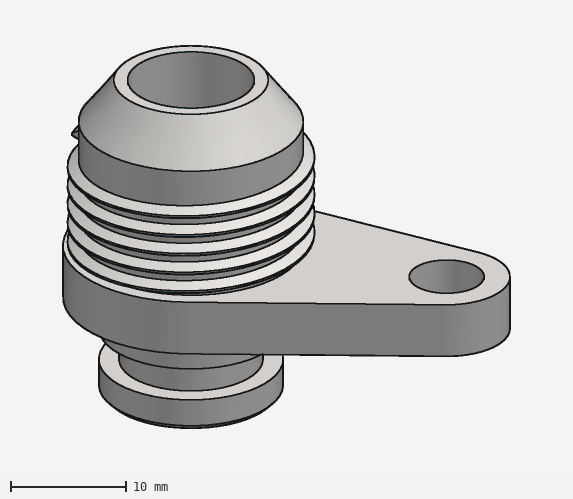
import cadquery as cq
import math

LOWER_COLLAR_TOP = 3.0
GROOVE_TOP = 6.0
FLANGE_BOTTOM = 9.0
FLANGE_TOP = 14.0
CONE_BOTTOM = 26.0
TOP = 30.0

BORE_RADIUS = 5.5
GROOVE_RADIUS = 6.25
COLLAR_RADIUS = 8.0
BODY_RADIUS = 9.75
NOSE_RADIUS = 6.7
BOTTOM_CHAMFER = 0.5

FLANGE_RADIUS = 11.1125
EAR_RADIUS = 5.5
EAR_OFFSET = 23.0
EAR_HOLE_RADIUS = 3.25

MM_PER_INCH = 25.4
TURNS_PER_INCH = 14
PITCH = MM_PER_INCH / TURNS_PER_INCH
THREAD_CREST_RADIUS = 10.72
THREAD_ROOT_WIDTH = 1.24
THREAD_CREST_WIDTH = 0.2
THREAD_END_HEIGHT = 23.34
THREAD_TURNS = 6
ROOT_OVERLAP = 0.1


def make_body():
    """Turned body: grooved spigot below, threaded barrel and conical nose above."""
    return (
        cq.Workplane("XZ")
        .moveTo(0, 0)
        .lineTo(COLLAR_RADIUS - BOTTOM_CHAMFER, 0)
        .lineTo(COLLAR_RADIUS, BOTTOM_CHAMFER)
        .lineTo(COLLAR_RADIUS, LOWER_COLLAR_TOP)
        .lineTo(GROOVE_RADIUS, LOWER_COLLAR_TOP)
        .lineTo(GROOVE_RADIUS, GROOVE_TOP)
        .lineTo(COLLAR_RADIUS, GROOVE_TOP)
        .lineTo(COLLAR_RADIUS, FLANGE_BOTTOM)
        .lineTo(BODY_RADIUS, FLANGE_BOTTOM)
        .lineTo(BODY_RADIUS, CONE_BOTTOM)
        .lineTo(NOSE_RADIUS, TOP)
        .lineTo(0, TOP)
        .close()
        .revolve(360, (0, 0, 0), (0, 1, 0))
    )


def make_flange():
    """Two round ends joined by straight sides tangent to both."""
    tangent_cos = (FLANGE_RADIUS - EAR_RADIUS) / EAR_OFFSET
    tangent_sin = math.sqrt(1 - tangent_cos**2)
    flange_x = FLANGE_RADIUS * tangent_cos
    flange_y = FLANGE_RADIUS * tangent_sin
    ear_x = EAR_OFFSET + EAR_RADIUS * tangent_cos
    ear_y = EAR_RADIUS * tangent_sin
    return (
        cq.Workplane("XY")
        .workplane(offset=FLANGE_BOTTOM)
        .moveTo(flange_x, flange_y)
        .threePointArc((-FLANGE_RADIUS, 0), (flange_x, -flange_y))
        .lineTo(ear_x, -ear_y)
        .threePointArc((EAR_OFFSET + EAR_RADIUS, 0), (ear_x, ear_y))
        .close()
        .extrude(FLANGE_TOP - FLANGE_BOTTOM)
    )


def make_thread():
    """Helical ridge whose lowest turn starts inside the flange."""
    start_height = THREAD_END_HEIGHT - THREAD_TURNS * PITCH
    flank_slope = (THREAD_ROOT_WIDTH - THREAD_CREST_WIDTH) / 2 / (THREAD_CREST_RADIUS - BODY_RADIUS)
    half_crest = THREAD_CREST_WIDTH / 2
    half_base = THREAD_ROOT_WIDTH / 2 + ROOT_OVERLAP * flank_slope
    base_radius = BODY_RADIUS - ROOT_OVERLAP
    helix = cq.Wire.makeHelix(PITCH, THREAD_TURNS * PITCH, BODY_RADIUS)
    ridge = (
        cq.Workplane("XZ")
        .moveTo(base_radius, -half_base)
        .lineTo(THREAD_CREST_RADIUS, -half_crest)
        .lineTo(THREAD_CREST_RADIUS, half_crest)
        .lineTo(base_radius, half_base)
        .close()
        .sweep(cq.Workplane(obj=helix), isFrenet=True)
    )
    return ridge.rotate((0, 0, 0), (0, 0, 1), 180).translate((0, 0, start_height))


def make_through_hole(radius, x):
    """Vertical cutter through the full height of the part."""
    return cq.Workplane("XY").center(x, 0).circle(radius).extrude(TOP)


result = (
    make_body()
    .union(make_flange())
    .union(make_thread())
    .cut(make_through_hole(BORE_RADIUS, 0))
    .cut(make_through_hole(EAR_HOLE_RADIUS, EAR_OFFSET))
)